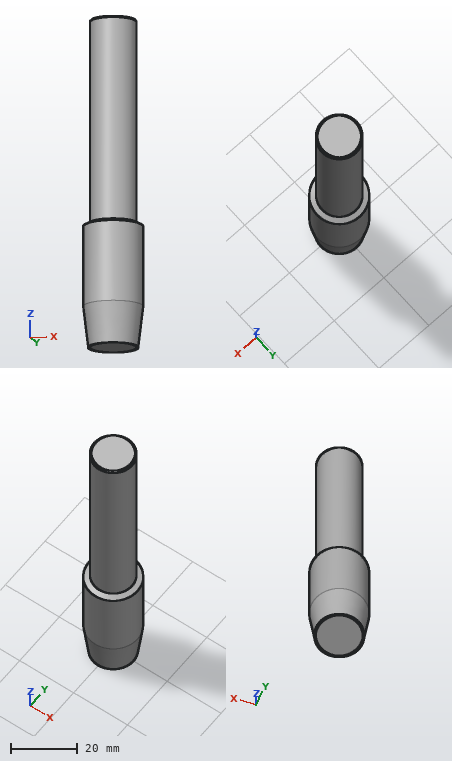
import cadquery as cq

total_length = 100.0
pin_diameter = 14.0
pin_chamfer = 0.5
sleeve_diameter = 18.0
sleeve_length = 38.0
shoulder_height = 1.0
taper_length = 12.5
taper_end_diameter = 15.0

pin_radius = pin_diameter / 2
sleeve_radius = sleeve_diameter / 2
taper_end_radius = taper_end_diameter / 2


def make_pin():
    """Straight round pin, bevelled at its top end."""
    pin = cq.Workplane("XY").circle(pin_radius).extrude(total_length)
    return pin.faces(">Z").chamfer(pin_chamfer)


def make_sleeve():
    """Sleeve around the lower pin, with a bevelled shoulder and a tapered lower end."""
    half_section = (
        cq.Workplane("XZ")
        .moveTo(pin_radius, 0)
        .lineTo(taper_end_radius, 0)
        .lineTo(sleeve_radius, taper_length)
        .lineTo(sleeve_radius, sleeve_length - shoulder_height)
        .lineTo(pin_radius, sleeve_length)
        .close()
    )
    return half_section.revolve(360, (0, 0, 0), (0, 1, 0))


pin = make_pin()
sleeve = make_sleeve()

result = cq.Compound.makeCompound([pin.val(), sleeve.val()])